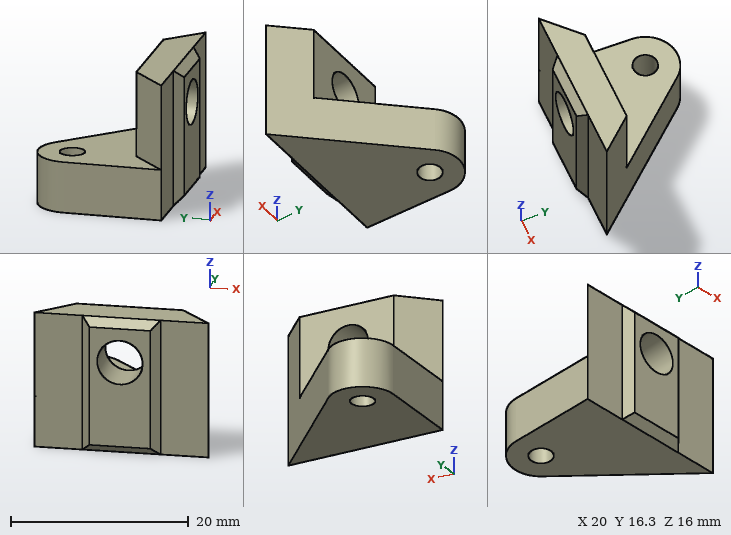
import cadquery as cq
import math

width = 20.0
height = 16.0
arm_height = 6.0
wall_thickness = 3.95
wall_back_left_x = 4.1

arm_radius = 3.95
pivot_x = arm_radius
pivot_y = 11.35
pivot_hole_diameter = 2.88

pad_width = 8.95
pad_depth = 1.0
pad_inset = 0.98

cross_hole_diameter = 5.2
cross_hole_z = 11.0

corner_to_pivot = math.hypot(width - pivot_x, pivot_y)
slope_angle = math.atan2(pivot_y, width - pivot_x) + math.asin(arm_radius / corner_to_pivot)
tangent_x = pivot_x + arm_radius * math.sin(slope_angle)
tangent_y = pivot_y + arm_radius * math.cos(slope_angle)
arc_mid_angle = (math.pi + math.pi / 2 - slope_angle) / 2
arc_mid_x = pivot_x + arm_radius * math.cos(arc_mid_angle)
arc_mid_y = pivot_y + arm_radius * math.sin(arc_mid_angle)


def make_arm():
    """Flat arm with a rounded end, standing on the base plane."""
    return (
        cq.Workplane("XY")
        .lineTo(width, 0)
        .lineTo(tangent_x, tangent_y)
        .threePointArc((arc_mid_x, arc_mid_y), (0, pivot_y))
        .close()
        .extrude(arm_height)
    )


def make_wall():
    """Upright wall with a bevelled left end and a right end following the slope."""
    back_right_x = width - wall_thickness / math.tan(slope_angle)
    return (
        cq.Workplane("XY")
        .workplane(offset=arm_height)
        .lineTo(width, 0)
        .lineTo(back_right_x, wall_thickness)
        .lineTo(wall_back_left_x, wall_thickness)
        .close()
        .extrude(height - arm_height)
    )


def make_pad():
    """Full-height pad on the front face, narrowing by the same inset on all four sides."""
    taper_angle = math.degrees(math.atan(pad_inset / pad_depth))
    return (
        cq.Workplane("XZ", origin=(width / 2, 0, height / 2))
        .rect(pad_width, height)
        .extrude(pad_depth, taper=taper_angle)
    )


def make_pivot_hole():
    """Vertical hole through the arm, concentric with its rounded end."""
    return (
        cq.Workplane("XY", origin=(pivot_x, pivot_y, 0))
        .circle(pivot_hole_diameter / 2)
        .extrude(arm_height)
    )


def make_cross_hole():
    """Hole from the pad face through the back of the wall."""
    return (
        cq.Workplane("XZ", origin=(width / 2, wall_thickness, cross_hole_z))
        .circle(cross_hole_diameter / 2)
        .extrude(wall_thickness + pad_depth)
    )


body = make_arm().union(make_wall()).union(make_pad())
result = body.cut(make_pivot_hole()).cut(make_cross_hole())